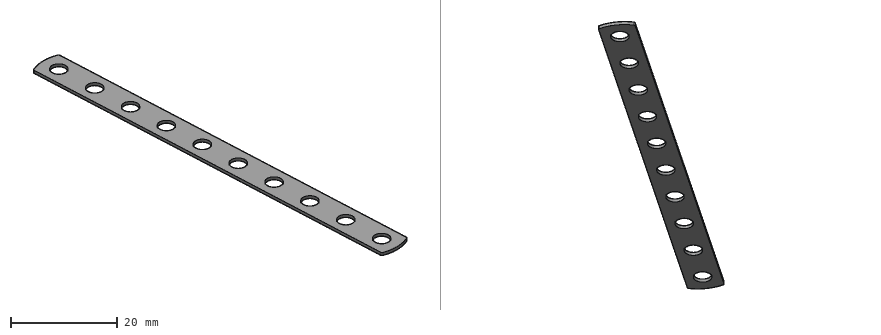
import cadquery as cq

length = 91.2
width = 7.0
thickness = 0.7

end_bow = 0.7
corner_radius = 0.5

hole_count = 10
end_hole_distance = 4.0
hole_pitch = (length - 2 * end_hole_distance) / (hole_count - 1)
hole_diameter = 3.5


def strip():
    tip_x = length / 2
    corner_x = tip_x - end_bow
    half_width = width / 2
    return (
        cq.Workplane("XY")
        .moveTo(-corner_x, -half_width)
        .lineTo(corner_x, -half_width)
        .threePointArc((tip_x, 0), (corner_x, half_width))
        .lineTo(-corner_x, half_width)
        .threePointArc((-tip_x, 0), (-corner_x, -half_width))
        .close()
        .extrude(thickness)
        .edges("|Z")
        .fillet(corner_radius)
    )


def hole_row():
    return (
        cq.Workplane("XY")
        .rarray(hole_pitch, 0.9, hole_count, 1)
        .circle(hole_diameter / 2)
        .extrude(thickness)
    )


result = strip().cut(hole_row())